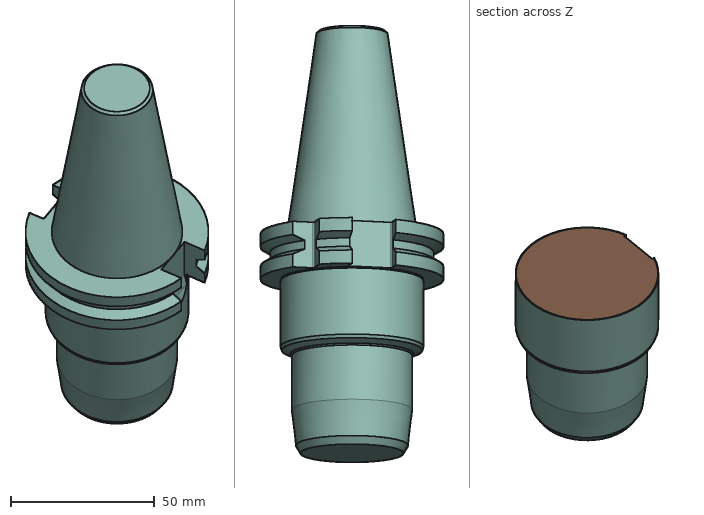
import cadquery as cq
import math

total_height = 148.9
taper_length = 68.3
gauge_height = total_height - taper_length
flange_top = 77.5
flange_bottom = 61.3
body_bottom = 34.4
shoulder_inner_height = 35.0
shoulder_outer_height = 36.3
shoulder_top = 37.5
relief_width = 0.5
relief_bottom = flange_bottom - relief_width
nose_taper_start = 15.3
nose_chamfer_height = 2.7

gauge_radius = 44.5 / 2
flange_radius = 63.6 / 2
body_radius = 49.7 / 2
relief_radius = 49.5 / 2
neck_radius = 42.0 / 2
shoulder_edge_break = 0.5
shoulder_inner_radius = neck_radius + shoulder_edge_break
shoulder_outer_radius = body_radius - shoulder_edge_break
nose_radius = 39.0 / 2
nose_face_radius = 35.7 / 2

taper_ratio = 7 / 24
taper_end_radius = gauge_radius - taper_length * taper_ratio / 2
taper_base_radius = gauge_radius + (gauge_height - flange_top) * taper_ratio / 2
taper_end_chamfer = 0.9

groove_height = 69.4
groove_radius = 56.9 / 2
groove_floor_width = 3.0
groove_flank_angle = math.radians(30)

slot_width = 15.6
left_slot_floor = 25.0
right_slot_floor = 22.6
runout_bend_x = 23.5
runout_bend_height = 57.3
runout_bottom = 53.0
notch_x = -18.5
notch_y = 18.3
corner_radius = 0.6


def make_shank():
    """Taper, flange core, stepped body and nose as one revolved profile."""
    profile = (
        cq.Workplane("XZ")
        .lineTo(nose_face_radius, 0)
        .lineTo(nose_radius, nose_chamfer_height)
        .lineTo(neck_radius, nose_taper_start)
        .lineTo(neck_radius, body_bottom)
        .lineTo(shoulder_inner_radius, shoulder_inner_height)
        .lineTo(shoulder_outer_radius, shoulder_outer_height)
        .lineTo(body_radius, shoulder_top)
        .lineTo(body_radius, relief_bottom)
        .lineTo(relief_radius, relief_bottom)
        .lineTo(relief_radius, flange_bottom)
        .lineTo(taper_base_radius, flange_bottom)
        .lineTo(taper_base_radius, flange_top)
        .lineTo(taper_end_radius, total_height)
        .lineTo(0, total_height)
        .close()
    )
    shank = profile.revolve(360, (0, 0, 0), (0, 1, 0))
    return shank.faces(">Z").edges().chamfer(taper_end_chamfer)


def make_flange():
    """Disc with a V-flanked groove around its rim."""
    floor_half = groove_floor_width / 2
    rim_half = floor_half + (flange_radius - groove_radius) * math.tan(groove_flank_angle)
    profile = (
        cq.Workplane("XZ")
        .moveTo(0, flange_bottom)
        .lineTo(flange_radius, flange_bottom)
        .lineTo(flange_radius, groove_height - rim_half)
        .lineTo(groove_radius, groove_height - floor_half)
        .lineTo(groove_radius, groove_height + floor_half)
        .lineTo(flange_radius, groove_height + rim_half)
        .lineTo(flange_radius, flange_top)
        .lineTo(0, flange_top)
        .close()
    )
    return profile.revolve(360, (0, 0, 0), (0, 1, 0))


def make_left_slot():
    """Drive slot through the -X side of the flange."""
    return cq.Workplane("XY").box(
        flange_radius, slot_width, flange_top - flange_bottom, centered=(False, True, False)
    ).edges("|Z").fillet(corner_radius).translate((-left_slot_floor - flange_radius, 0, flange_bottom))


def make_right_slot():
    """Deeper drive slot on +X, with a sloped runout into the body."""
    return (
        cq.Workplane("XZ")
        .moveTo(right_slot_floor, flange_top)
        .lineTo(right_slot_floor, flange_bottom)
        .lineTo(runout_bend_x, runout_bend_height)
        .lineTo(body_radius, runout_bottom)
        .lineTo(flange_radius, runout_bottom)
        .lineTo(flange_radius, flange_top)
        .close()
        .extrude(slot_width / 2, both=True)
    )


def make_notch():
    """Square orientation notch in the -X, +Y part of the flange."""
    return cq.Workplane("XY").box(
        flange_radius, flange_radius, flange_top - flange_bottom, centered=False
    ).edges("|Z").fillet(corner_radius).translate((notch_x - flange_radius, notch_y, flange_bottom))


flange = make_flange().cut(make_left_slot()).cut(make_notch())
result = make_shank().union(flange).cut(make_right_slot())